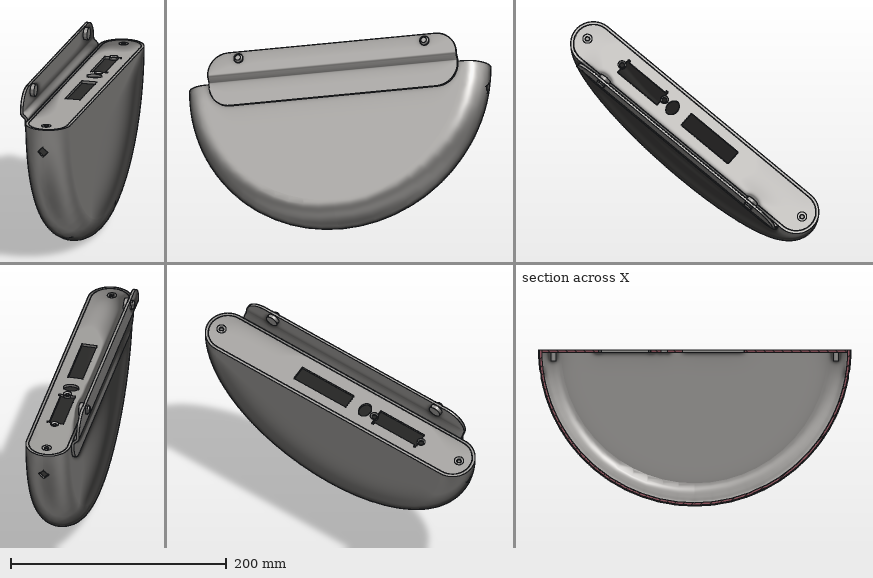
import cadquery as cq
import math

RADIUS = 145.0
WIDTH = 42.0
WALL = 2.5
SPINDLE_HALF_DIAGONAL = 5.0
SPINDLE_Z = -22.0

LID_THICKNESS = 2.5
LID_CLEARANCE = 0.3

SLOT_LEFT = -6.0
LONG_SLOT_RIGHT = 8.5
LONG_SLOT_Y = (-45.8, 11.3)
TAB_SLOT_RIGHT = 7.8
TAB_SLOT_Y = (41.0, 89.0)
RELIEF_RIGHT = 10.0
RELIEF_WIDTH = 2.0
OVAL_X = 1.2
OVAL_Y = 28.0
OVAL_RADIUS_X = 7.2
OVAL_RADIUS_Y = 5.5

COLLAR_X = 2.0
COLLAR_MID_Y = 64.7
COLLAR_HALF_SPACING = 25.8
COLLAR_RADIUS = 3.8
COLLAR_HOLE_RADIUS = 2.3

LID_SCREW_Y = 131.0
LID_SCREW_HEAD_RADIUS = 4.4
LID_SCREW_HEAD_HEIGHT = 2.0
LID_SCREW_SHANK_RADIUS = 2.3
LID_SCREW_LENGTH = 10.2
SOCKET_SIDES = 6
SOCKET_DIAMETER = 4.4
SOCKET_DEPTH = 1.5

BRACKET_LENGTH = 240.0
BRACKET_TOP = 27.0
BRACKET_BOTTOM = -23.0
BRACKET_THICKNESS = 2.5
BRACKET_CORNER = 20.0
JOG_OFFSET = 4.5
JOG_TOP = 5.2
JOG_ANGLE = 45.0
BEND_RADIUS = BRACKET_THICKNESS

BRACKET_SCREW_Y = 90.0
BRACKET_SCREW_Z = 20.3
BRACKET_SCREW_HEAD_RADIUS = 4.4
BRACKET_SCREW_HEAD_HEIGHT = 3.2
BRACKET_SCREW_HEAD_CHAMFER = 1.7
BRACKET_SCREW_SHANK_RADIUS = 2.3
BRACKET_SCREW_COLLAR_RADIUS = 5.8
BRACKET_SCREW_COLLAR_HEIGHT = 3.8

FLAT_X = -WIDTH / 2
UPPER_BACK_X = FLAT_X - JOG_OFFSET
UPPER_FRONT_X = UPPER_BACK_X - BRACKET_THICKNESS


def half_disc(radius, width):
    """Lower half of a disc about the X axis, with a semicircular rim."""
    rim = width / 2
    flat_z = rim - radius
    corner = rim * math.sqrt(0.5)
    disc = (
        cq.Workplane("XZ")
        .moveTo(-rim, 0)
        .lineTo(-rim, flat_z)
        .threePointArc((-corner, flat_z - corner), (0, -radius))
        .threePointArc((corner, flat_z - corner), (rim, flat_z))
        .lineTo(rim, 0)
        .close()
        .revolve(360, (0, 0, 0), (1, 0, 0))
    )
    upper_half = cq.Workplane("XY").box(2 * width, 3 * radius, 2 * radius, centered=(True, True, False))
    return disc.cut(upper_half)


def inner_half_disc(inset):
    """The housing form shrunk evenly by the inset."""
    return half_disc(RADIUS - inset, WIDTH - 2 * inset)


def round_bends(plate, corners, radius):
    """Fillet the edges along Y that pass through the given (x, z) corners."""
    for x, z in corners:
        plate = plate.edges(cq.selectors.NearestToPointSelector((x, 0, z))).fillet(radius)
    return plate


def make_bracket():
    """Joggled plate with rounded corners and two screw holes."""
    front_x = FLAT_X - BRACKET_THICKNESS
    jog_angle = math.radians(JOG_ANGLE)
    jog_bottom = JOG_TOP - JOG_OFFSET / math.tan(jog_angle)
    shift = BRACKET_THICKNESS * math.tan(jog_angle / 2)
    section = [
        (FLAT_X, BRACKET_BOTTOM),
        (FLAT_X, jog_bottom + shift),
        (UPPER_BACK_X, JOG_TOP + shift),
        (UPPER_BACK_X, BRACKET_TOP),
        (UPPER_FRONT_X, BRACKET_TOP),
        (UPPER_FRONT_X, JOG_TOP),
        (front_x, jog_bottom),
        (front_x, BRACKET_BOTTOM),
    ]
    half = BRACKET_LENGTH / 2
    plate = cq.Workplane("XZ", origin=(0, half, 0)).polyline(section).close().extrude(BRACKET_LENGTH)
    inner_bends = [(front_x, jog_bottom), (UPPER_BACK_X, JOG_TOP + shift)]
    outer_bends = [(UPPER_FRONT_X, JOG_TOP), (FLAT_X, jog_bottom + shift)]
    plate = round_bends(plate, inner_bends, BEND_RADIUS)
    plate = round_bends(plate, outer_bends, BEND_RADIUS + BRACKET_THICKNESS)
    outline = (
        cq.Workplane("YZ", origin=(-WIDTH, 0, (BRACKET_TOP + BRACKET_BOTTOM) / 2))
        .rect(BRACKET_LENGTH, BRACKET_TOP - BRACKET_BOTTOM)
        .extrude(WIDTH)
        .edges("|X")
        .fillet(BRACKET_CORNER)
    )
    holes = (
        cq.Workplane("YZ", origin=(-WIDTH, 0, 0))
        .pushPoints([(-BRACKET_SCREW_Y, BRACKET_SCREW_Z), (BRACKET_SCREW_Y, BRACKET_SCREW_Z)])
        .circle(BRACKET_SCREW_SHANK_RADIUS)
        .extrude(WIDTH)
    )
    return plate.intersect(outline).cut(holes)


def make_housing():
    """Hollow shell with a square spindle hole through both ends, and its welded bracket."""
    reach = SPINDLE_HALF_DIAGONAL
    spindle_hole = (
        cq.Workplane("XZ", origin=(0, 0, SPINDLE_Z))
        .polyline([(-reach, 0), (0, -reach), (reach, 0), (0, reach)])
        .close()
        .extrude(2 * RADIUS, both=True)
    )
    shell = half_disc(RADIUS, WIDTH).cut(inner_half_disc(WALL)).cut(spindle_hole)
    return shell.union(make_bracket())


def lid_cutter(left, right, low, high):
    """Rectangular cutter through the lid, between two x and two y limits."""
    return (
        cq.Workplane("XY", origin=((left + right) / 2, (low + high) / 2, -LID_THICKNESS))
        .rect(right - left, high - low)
        .extrude(LID_THICKNESS)
    )


def cone_and_shank(x, y, head_radius, shank_radius, head_height, length):
    """Countersunk form with its wide end at z = 0."""
    return (
        cq.Workplane("XZ", origin=(x, y, 0))
        .polyline(
            [(0, 0), (head_radius, 0), (shank_radius, -head_height), (shank_radius, -length), (0, -length)]
        )
        .close()
        .revolve(360, (0, 0, 0), (0, 1, 0))
    )


def lid_screw_form(y):
    """Screw without its socket; it also cuts the matching hole in the lid."""
    return cone_and_shank(
        0, y, LID_SCREW_HEAD_RADIUS, LID_SCREW_SHANK_RADIUS, LID_SCREW_HEAD_HEIGHT, LID_SCREW_LENGTH
    )


def make_lid():
    """Flush plate with two slots, an oval hole, two countersunk collars and two screw holes."""
    slab = cq.Workplane("XY").box(WIDTH, 2 * RADIUS, 2 * LID_THICKNESS)
    lid = inner_half_disc(WALL + LID_CLEARANCE).intersect(slab)

    lid = lid.cut(lid_cutter(SLOT_LEFT, LONG_SLOT_RIGHT, *LONG_SLOT_Y))
    low, high = TAB_SLOT_Y
    lid = lid.cut(lid_cutter(SLOT_LEFT, TAB_SLOT_RIGHT, low, high))
    lid = lid.cut(lid_cutter(SLOT_LEFT, RELIEF_RIGHT, low, low + RELIEF_WIDTH))
    lid = lid.cut(lid_cutter(SLOT_LEFT, RELIEF_RIGHT, high - RELIEF_WIDTH, high))
    oval = (
        cq.Workplane("XY", origin=(OVAL_X, OVAL_Y, -LID_THICKNESS))
        .ellipse(OVAL_RADIUS_X, OVAL_RADIUS_Y)
        .extrude(LID_THICKNESS)
    )
    lid = lid.cut(oval)

    for side in (-1, 1):
        y = COLLAR_MID_Y + side * COLLAR_HALF_SPACING
        collar = (
            cq.Workplane("XY", origin=(COLLAR_X, y, -LID_THICKNESS))
            .circle(COLLAR_RADIUS)
            .extrude(LID_THICKNESS)
        )
        countersink = cone_and_shank(
            COLLAR_X, y, COLLAR_RADIUS, COLLAR_HOLE_RADIUS, LID_THICKNESS / 2, LID_THICKNESS
        )
        lid = lid.union(collar).cut(countersink)
        lid = lid.cut(lid_screw_form(side * LID_SCREW_Y))
    return lid


def make_lid_screw(y):
    """Countersunk screw with a hexagonal socket."""
    socket = (
        cq.Workplane("XY", origin=(0, y, -SOCKET_DEPTH))
        .polygon(SOCKET_SIDES, SOCKET_DIAMETER)
        .extrude(SOCKET_DEPTH)
    )
    return lid_screw_form(y).cut(socket)


def make_bracket_screw(y):
    """Chamfered head in front of the bracket, shank through it and a round collar behind it."""
    head = (
        cq.Workplane("YZ", origin=(UPPER_FRONT_X - BRACKET_SCREW_HEAD_HEIGHT, y, BRACKET_SCREW_Z))
        .circle(BRACKET_SCREW_HEAD_RADIUS)
        .extrude(BRACKET_SCREW_HEAD_HEIGHT)
        .faces("<X")
        .chamfer(BRACKET_SCREW_HEAD_CHAMFER)
    )
    shank = (
        cq.Workplane("YZ", origin=(UPPER_FRONT_X, y, BRACKET_SCREW_Z))
        .circle(BRACKET_SCREW_SHANK_RADIUS)
        .extrude(BRACKET_THICKNESS)
    )
    collar = (
        cq.Workplane("YZ", origin=(UPPER_BACK_X, y, BRACKET_SCREW_Z))
        .circle(BRACKET_SCREW_COLLAR_RADIUS)
        .extrude(BRACKET_SCREW_COLLAR_HEIGHT)
    )
    return head.union(shank).union(collar)


housing = make_housing()
lid = make_lid()
lid_screws = [make_lid_screw(side * LID_SCREW_Y) for side in (-1, 1)]
bracket_screws = [make_bracket_screw(side * BRACKET_SCREW_Y) for side in (-1, 1)]

screws = [screw.val() for screw in lid_screws + bracket_screws]
result = cq.Compound.makeCompound([housing.val(), lid.val(), *screws])